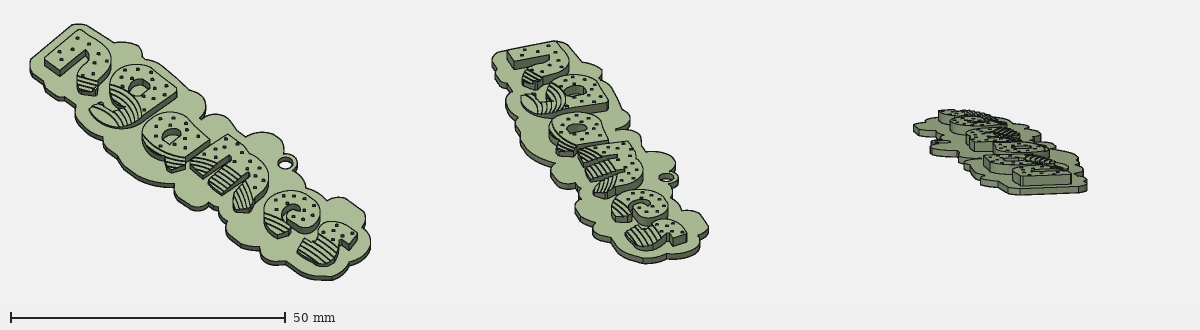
import cadquery as cq

PLATE_FRONT_Y = 0.0
PLATE_THICKNESS = 1.2
TOTAL_HEIGHT = 3.0
STEPS_DOWN_TO_PLATE = 9
TERRACE_DROP = (TOTAL_HEIGHT - PLATE_THICKNESS) / STEPS_DOWN_TO_PLATE

EYE_CENTER = (50.3, 20.55)
EYE_DIAMETER = 2.7

PINHOLE_DIAMETER = 0.5

PLATE_OUTLINE = (
    (0.0, 17.4),
    [
        (0.8, 18.4, 1.95, 19.1), (8.4, 19.6), (10.1, 21.2, 12.1, 22.05), (13.25, 21.7, 14.45, 20.7),
        (15.2, 20.6), (16.9, 21.45, 19.0, 21.6), (22.35, 21.4), (26.0, 20.9),
        (27.1, 21.4, 29.0, 21.4), (30.6, 20.3, 31.7, 18.15), (31.8, 17.5), (32.2, 17.5),
        (32.3, 18.5), (33.7, 20.5, 35.75, 20.9), (36.9, 20.6, 38.7, 20.0), (40.9, 20.0),
        (42.2, 22.8, 44.2, 23.9), (46.0, 23.9), (47.6, 23.0, 48.55, 21.8),
        (50.3, 22.7, 52.4, 20.2),
        (54.6, 20.2, 57.0, 18.9), (58.5, 19.4, 60.1, 19.6), (61.8, 19.35),
        (62.55, 21.15, 63.8, 22.05), (68.5, 22.05), (69.7, 21.15, 70.6, 19.2), (72.55, 18.9, 74.6, 17.2),
        (75.3, 14.2, 74.45, 11.75), (75.0, 9.55, 74.45, 7.15), (72.3, 5.3), (71.0, 4.5, 69.2, 4.1),
        (65.85, 4.1), (64.95, 3.1), (63.45, 2.0, 61.4, 2.2), (60.15, 3.15), (58.55, 1.95, 57.2, 1.35),
        (54.35, 1.4), (52.55, 2.25, 51.8, 3.55), (50.05, 3.6, 48.4, 4.75), (47.6, 4.4), (46.3, 4.4),
        (46.0, 2.6, 44.5, 1.6), (41.5, 1.4), (40.0, 2.0, 38.85, 3.2), (38.15, 2.6),
        (35.5, 0.9, 32.6, 0.0), (29.3, 0.0), (28.1, 0.4, 26.8, 0.9), (24.1, 0.9), (22.95, 1.3),
        (21.9, 2.25), (19.4, 1.6, 17.15, 1.8), (14.7, 2.6, 13.3, 4.3), (10.5, 4.3),
        (9.6, 3.55, 8.7, 3.4), (6.55, 3.4), (5.1, 4.3), (2.5, 4.3), (1.3, 4.9, 0.0, 6.4),
    ],
)

N_OUTLINE = (
    (2.55, 16.25),
    [
        (2.85, 16.6), (5.1, 16.6), (6.9, 16.85, 8.7, 16.8), (11.9, 15.1, 13.0, 12.65), (13.25, 10.2),
        (14.45, 8.7), (14.45, 8.2), (12.35, 6.8), (11.7, 6.8), (9.8, 8.3, 8.9, 11.0),
        (8.5, 12.9, 6.7, 13.8), (6.6, 7.1), (2.85, 7.1), (2.55, 7.4),
    ],
)
G_OUTLINE = (
    (18.1, 18.9),
    [
        (20.8, 18.75), (24.85, 18.7), (25.45, 18.15), (25.45, 17.5), (24.85, 10.3),
        (23.9, 6.9, 21.2, 4.75), (18.5, 4.3, 15.9, 5.05), (15.9, 5.95), (16.25, 6.7), (16.5, 7.45),
        (17.0, 7.5), (17.6, 7.15), (19.65, 7.4), (20.8, 9.5), (18.75, 8.95, 17.15, 9.55),
        (14.9, 11.75, 14.2, 14.2), (15.35, 17.15, 18.1, 18.9),
    ],
)
G_COUNTER = (
    (19.05, 15.95),
    [
        (20.4, 15.95), (21.15, 15.6, 21.4, 14.9), (21.4, 12.9), (19.7, 12.0, 18.3, 13.3),
        (18.15, 14.9, 19.05, 15.95),
    ],
)
A_OUTLINE = (
    (30.85, 15.0),
    [
        (33.5, 14.45), (37.5, 14.1), (37.0, 8.05), (38.0, 7.1), (36.8, 4.7), (35.75, 4.5),
        (33.95, 5.8), (31.7, 5.05, 29.4, 5.5), (26.9, 7.6, 26.4, 10.3), (27.6, 13.55, 30.85, 15.0),
    ],
)
A_COUNTER = (
    (31.0, 11.45),
    [(32.0, 11.8, 33.0, 11.0), (33.0, 8.2), (31.2, 8.2), (30.25, 9.85, 31.0, 11.45)],
)
M_OUTLINE = (
    (39.0, 17.2),
    [
        (43.05, 17.2), (44.9, 16.6), (46.2, 16.85, 47.6, 16.8), (50.95, 15.35, 52.7, 12.0),
        (52.7, 9.85), (53.4, 8.05), (53.4, 7.5), (51.6, 6.1), (50.95, 6.1),
        (49.6, 7.3, 48.7, 8.65), (48.6, 12.4), (48.4, 13.1, 47.7, 13.4), (47.35, 10.1), (47.05, 7.1),
        (44.85, 7.1), (43.35, 7.4), (43.1, 8.0), (43.6, 12.65), (43.3, 13.6, 42.5, 13.85),
        (42.2, 11.0), (41.9, 7.5), (38.5, 7.75), (38.0, 8.2), (38.2, 8.95), (38.4, 12.4),
    ],
)
E_OUTLINE = (
    (58.9, 16.8),
    [
        (61.2, 16.8), (63.8, 15.35, 64.8, 12.7), (64.3, 11.15, 62.55, 10.5), (60.3, 10.3),
        (59.5, 11.4, 59.6, 12.65), (60.8, 13.1), (59.7, 13.9, 58.55, 13.2), (58.3, 11.45, 59.7, 9.8),
        (60.3, 9.55), (62.0, 9.55), (62.25, 8.65), (61.3, 6.7), (60.15, 6.6),
        (57.9, 7.15, 56.2, 8.5), (54.7, 11.45, 55.2, 13.8), (56.7, 15.8, 58.9, 16.8),
    ],
)
S_OUTLINE = (
    (72.1, 16.3),
    [
        (72.6, 13.6), (70.8, 13.6), (70.6, 13.1), (71.9, 11.45, 72.55, 9.8), (72.4, 8.7),
        (71.65, 7.6, 69.85, 7.1), (67.5, 6.7), (66.1, 6.8), (65.4, 9.2), (65.4, 9.55),
        (66.85, 9.6), (67.45, 10.3), (67.0, 11.45), (65.85, 13.3, 66.15, 14.9),
        (67.75, 16.1, 70.3, 16.6), (71.9, 16.6),
    ],
)

N_TERRACES = [(((9.4, 8.3), (11.45, 9.1), (14.0, 10.3)), 0.8, 4)]
G_TERRACES = [(((15.1, 10.8), (20.3, 11.9), (25.5, 8.5)), 0.9, 7)]
A_TERRACES = [(((27.1, 6.85), (31.5, 6.1), (38.2, 8.9)), 0.8, 5)]
M_TERRACES = [
    (((37.8, 8.8), (40.05, 10.2), (42.45, 11.1)), 0.8, 4),
    (((43.05, 11.7), (45.3, 11.8), (47.65, 11.75)), 0.8, 6),
    (((48.4, 11.75), (50.95, 10.5), (53.7, 8.5)), 0.8, 6),
]
E_TERRACES = [(((55.55, 8.1), (59.85, 9.5), (62.55, 9.8)), 0.9, 3)]
S_TERRACES = [(((65.0, 11.45), (68.95, 11.8), (73.0, 11.6)), 0.9, 6)]

N_PINHOLES = [
    (3.85, 14.75), (6.3, 15.2), (9.1, 14.75), (11.4, 14.5), (10.0, 12.7), (5.0, 12.3), (11.6, 10.7),
    (3.6, 10.2), (5.1, 9.2), (10.5, 9.1),
]
G_PINHOLES = [
    (19.05, 18.15), (23.2, 17.8), (16.8, 17.0), (20.3, 17.1), (22.05, 15.9), (24.4, 16.0),
    (15.2, 15.3), (17.5, 14.75), (23.5, 14.0), (15.9, 13.6), (21.8, 13.2), (17.5, 12.2),
    (24.1, 10.9),
]
A_PINHOLES = [
    (29.3, 13.2), (31.8, 13.85), (32.9, 12.9), (35.45, 13.2), (27.6, 11.45), (29.95, 11.6),
    (34.0, 11.15), (28.3, 9.6), (35.5, 9.6), (33.6, 8.9), (29.8, 8.0), (32.0, 6.85),
]
M_PINHOLES = [
    (39.5, 16.2), (41.85, 16.8), (43.8, 15.9), (46.3, 15.4), (48.6, 15.4), (40.65, 14.6),
    (39.75, 13.2), (44.25, 13.4), (47.1, 13.8), (49.3, 13.6), (51.1, 13.85), (41.1, 11.8),
    (51.1, 11.6), (39.1, 10.9),
]
E_PINHOLES = [
    (57.65, 15.0), (59.5, 15.9), (61.8, 15.9), (56.2, 13.8), (57.9, 12.95), (61.3, 13.85),
    (63.15, 14.1), (55.85, 12.05), (62.55, 12.2), (60.8, 11.45), (57.4, 10.55),
]
S_PINHOLES = [(68.0, 15.35), (71.3, 15.95), (68.35, 14.1), (70.4, 14.3), (67.3, 12.5), (69.7, 12.5)]


def prism(outline, height):
    """Extrude a closed outline of lines and arcs up from Z = 0."""
    start, pieces = outline
    sketch = cq.Workplane("XY").moveTo(*start)
    for piece in pieces:
        if len(piece) == 2:
            sketch = sketch.lineTo(*piece)
        else:
            x_mid, y_mid, x_end, y_end = piece
            sketch = sketch.threePointArc((x_mid, y_mid), (x_end, y_end))
    return sketch.close().extrude(height)


def cut_terraces(body, first_edge, spacing, count):
    """Step the letter top down toward -Y, one drop behind each curved edge."""
    left, middle, right = first_edge
    for index in range(count):
        shift = index * spacing
        tread = (
            (left[0], left[1] - shift),
            [
                (middle[0], middle[1] - shift, right[0], right[1] - shift),
                (right[0], PLATE_FRONT_Y),
                (left[0], PLATE_FRONT_Y),
            ],
        )
        tread_height = TOTAL_HEIGHT - (index + 1) * TERRACE_DROP
        body = body.cut(prism(tread, TOTAL_HEIGHT).translate((0, 0, tread_height)))
    return body


def letter(outline, terraces, counter=None):
    """One raised letter, reaching down through the plate so that the two fuse."""
    body = prism(outline, TOTAL_HEIGHT)
    if counter:
        body = body.cut(prism(counter, TOTAL_HEIGHT))
    for first_edge, spacing, count in terraces:
        body = cut_terraces(body, first_edge, spacing, count)
    return body


def vertical_holes(centers, diameter):
    """Round cutters through the full height."""
    return cq.Workplane("XY").pushPoints(centers).circle(diameter / 2).extrude(TOTAL_HEIGHT)


letters = [
    letter(N_OUTLINE, N_TERRACES),
    letter(G_OUTLINE, G_TERRACES, G_COUNTER),
    letter(A_OUTLINE, A_TERRACES, A_COUNTER),
    letter(M_OUTLINE, M_TERRACES),
    letter(E_OUTLINE, E_TERRACES),
    letter(S_OUTLINE, S_TERRACES),
]
pinhole_centers = N_PINHOLES + G_PINHOLES + A_PINHOLES + M_PINHOLES + E_PINHOLES + S_PINHOLES

result = prism(PLATE_OUTLINE, PLATE_THICKNESS)
for raised_letter in letters:
    result = result.union(raised_letter)
result = result.cut(vertical_holes(pinhole_centers, PINHOLE_DIAMETER))
result = result.cut(vertical_holes([EYE_CENTER], EYE_DIAMETER))